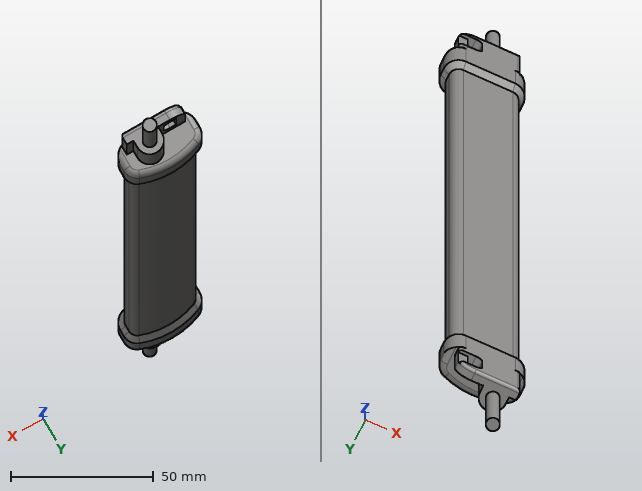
import cadquery as cq
import math

total_length = 416.0
cap_width = 30.8
cap_depth = 15.5

front_corner_radius = 6.0
back_corner_radius = 5.5
side_top_y = 0.5

tube_inset = 2.0

taper_start_z = 143.5
cap_bottom_z = 147.3
cap_top_z = 161.0
tab_top_z = 179.7
cap_top_fillet = 2.5

tab_width = 23.7
tab_thickness = 4.0
tab_corner_radius = 6.2
tab_edge_fillet = 1.2
slot_width = 5.0
slot_length = 11.2
slot_recess_depth = 1.2

cable_x = 4.0
cable_y = -1.0
cable_diameter = 5.0
boss_radius = 5.0

front_y = -cap_depth / 2
tab_back_y = front_y + tab_thickness


def section(inset, z, front_extension=0):
    """Closed D-shaped outline at height z, offset inwards and optionally stretched forwards."""
    half_width = cap_width / 2 - inset
    front = front_y + inset - front_extension
    back = cap_depth / 2 - inset
    front_radius = front_corner_radius - inset
    back_radius = back_corner_radius - inset
    diagonal = math.sqrt(0.5)

    corner_x = half_width - back_radius
    rise = back - side_top_y
    crown_radius = (corner_x**2 + rise**2 - back_radius**2) / (2 * (rise - back_radius))
    crown_y = back - crown_radius
    crown_angle = math.atan2(side_top_y - crown_y, corner_x)
    join_x = corner_x + back_radius * math.cos(crown_angle)
    join_y = side_top_y + back_radius * math.sin(crown_angle)
    corner_mid_x = corner_x + back_radius * math.cos(crown_angle / 2)
    corner_mid_y = side_top_y + back_radius * math.sin(crown_angle / 2)

    flat_x = half_width - front_radius
    side_bottom_y = front + front_radius
    front_mid_x = flat_x + front_radius * diagonal
    front_mid_y = side_bottom_y - front_radius * diagonal

    return (
        cq.Workplane("XY", origin=(0, 0, z))
        .moveTo(-flat_x, front)
        .lineTo(flat_x, front)
        .threePointArc((front_mid_x, front_mid_y), (half_width, side_bottom_y))
        .lineTo(half_width, side_top_y)
        .threePointArc((corner_mid_x, corner_mid_y), (join_x, join_y))
        .threePointArc((0, back), (-join_x, join_y))
        .threePointArc((-corner_mid_x, corner_mid_y), (-half_width, side_top_y))
        .lineTo(-half_width, side_bottom_y)
        .threePointArc((-front_mid_x, front_mid_y), (-flat_x, front))
        .close()
    )


def make_cap():
    """Cap body with a rounded shoulder and a taper down to the tube."""
    height = cap_top_z - cap_bottom_z
    rounded_blank = section(0, cap_bottom_z, 2 * front_corner_radius).extrude(height)
    rounded_blank = rounded_blank.faces(">Z").edges().fillet(cap_top_fillet)
    body = section(0, cap_bottom_z).extrude(height).intersect(rounded_blank)
    lower_wire = section(tube_inset, taper_start_z).wire().val()
    upper_wire = section(0, cap_bottom_z).wire().val()
    taper = cq.Solid.makeLoft([lower_wire, upper_wire], True)
    return body.union(cq.Workplane(obj=taper))


def make_tab():
    """Flat tab with one rounded top corner, rounded front edges and a mounting slot."""
    height = tab_top_z - cap_top_z
    tab = (
        cq.Workplane("XY", origin=(0, front_y + tab_thickness / 2, cap_top_z))
        .box(tab_width, tab_thickness, height, centered=(True, True, False))
        .edges("|Y and >Z and <X")
        .fillet(tab_corner_radius)
    )
    tab = tab.faces("<Y").edges("|Z").fillet(tab_edge_fillet)

    tab_left_x = -tab_width / 2
    slot_left_x = tab_left_x + tab_corner_radius - slot_width / 2
    slot_top_z = tab_top_z - tab_corner_radius + slot_width / 2
    slot_middle_z = slot_top_z - slot_length / 2
    slot = (
        cq.Workplane("XY", origin=(slot_left_x, front_y, slot_middle_z))
        .box(slot_width, tab_thickness, slot_length, centered=(False, False, True))
        .edges("|Y and >X")
        .fillet(slot_width / 2)
    )

    recess = cq.Workplane("XY", origin=(tab_left_x, front_y, slot_middle_z)).box(
        slot_left_x - tab_left_x, slot_recess_depth, slot_length, centered=(False, False, True)
    )
    return tab.cut(slot).cut(recess)


def make_boss():
    """Arched boss joining the cable outlet to the back of the tab."""
    return (
        cq.Workplane("XY", origin=(cable_x, cable_y, cap_bottom_z))
        .moveTo(-boss_radius, tab_back_y - cable_y)
        .lineTo(boss_radius, tab_back_y - cable_y)
        .lineTo(boss_radius, 0)
        .threePointArc((0, boss_radius), (-boss_radius, 0))
        .close()
        .extrude(tab_top_z - cap_bottom_z)
    )


tube = section(tube_inset, -cap_bottom_z).extrude(2 * cap_bottom_z)
cable = (
    cq.Workplane("XY", origin=(cable_x, cable_y, -total_length / 2))
    .circle(cable_diameter / 2)
    .extrude(total_length)
)
upper_end = make_cap().union(make_tab()).union(make_boss())
lower_end = upper_end.mirror("XY")

result = tube.union(upper_end).union(lower_end).union(cable)